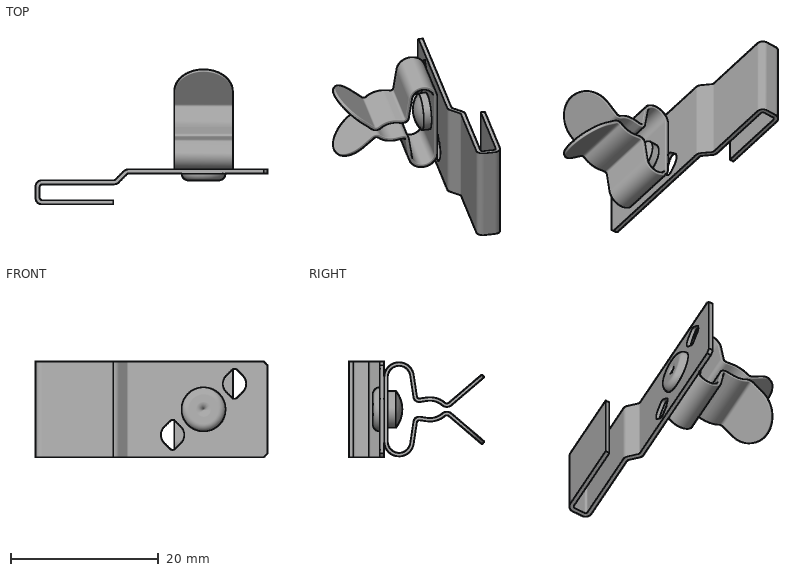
import cadquery as cq
import math


bracket_length = 31.5
bracket_width = 13.0
bracket_sheet = 0.6
bracket_bend_radius = 0.3
bracket_depth = 4.8
front_leg_length = 10.58
step_start = 10.65
step_depth = 1.48
step_angle = 45.0
corner_chamfer = 0.55

window_offset_x = 4.2
window_offset_z = 3.45
window_radius = 1.58
window_half_height = 2.02
window_tip_radius = 0.5
window_flank_angle = 45.0

rivet_x = 22.8
shank_radius = 2.52
shank_end = 1.58
dome_end = 2.5
flange_rim_radius = 3.0
flange_flat_radius = 2.02
flange_height = 0.95
dimple_radius = 1.0

clip_width = 8.0
clip_sheet = 0.5
clip_edge_round = 0.1
base_half_length = 4.38
loop_radius = 1.5
arm_length = 2.95
arm_lean = 8.6
jaw_corner_radius = 0.3
jaw_flat_length = 0.95
hump_radius = 2.58
throat_radius = 0.45
lip_slope = 40.5
lip_length = 5.9


def travel(point, heading, distance):
    angle = math.radians(heading)
    return (point[0] + distance * math.cos(angle), point[1] + distance * math.sin(angle))


def bent_strip(plane, start, heading, sheet, steps):
    """Outline of a bent sheet, drawn along its left side and back along its right side.

    The centre line leaves `start` at `heading` degrees. Each step is a straight length, a turn in
    degrees (left is positive) and the inside radius of that turn.
    Returns the outline, the end of the centre line and the heading there.
    """
    half = sheet / 2
    point = start
    left_corner = travel(point, heading + 90, half)
    right_corner = travel(point, heading - 90, half)
    outline = cq.Workplane(plane).moveTo(*left_corner)
    right_side = []
    for length, turn, inside_radius in steps:
        if length > 0:
            point = travel(point, heading, length)
            outline = outline.lineTo(*travel(point, heading + 90, half))
            right_side.append((right_corner, None))
            right_corner = travel(point, heading - 90, half)
        if turn != 0:
            inward = math.copysign(90, turn)
            radius = inside_radius + half
            center = travel(point, heading + inward, radius)
            spoke = heading - inward
            left_radius = radius - math.copysign(half, turn)
            right_radius = radius + math.copysign(half, turn)
            outline = outline.threePointArc(
                travel(center, spoke + turn / 2, left_radius),
                travel(center, spoke + turn, left_radius),
            )
            right_side.append((right_corner, travel(center, spoke + turn / 2, right_radius)))
            right_corner = travel(center, spoke + turn, right_radius)
            point = travel(center, spoke + turn, radius)
            heading += turn

    outline = outline.lineTo(*right_corner)
    for corner, arc_middle in reversed(right_side):
        if arc_middle is None:
            outline = outline.lineTo(*corner)
        else:
            outline = outline.threePointArc(arc_middle, corner)
    return outline.close(), point, heading


def make_window(x, z):
    """Cutter through the mounting plate, with straight flanks tangent to the circle and its tips."""
    flank_x = math.cos(math.radians(window_flank_angle))
    flank_z = math.sin(math.radians(window_flank_angle))
    tip_center = window_half_height - window_tip_radius
    side_x = window_radius * flank_x
    side_z = window_radius * flank_z
    tip_x = window_tip_radius * flank_x
    tip_z = tip_center + window_tip_radius * flank_z
    return (
        cq.Workplane("XZ", origin=(x, 0, z))
        .moveTo(side_x, -side_z)
        .threePointArc((window_radius, 0), (side_x, side_z))
        .lineTo(tip_x, tip_z)
        .threePointArc((0, window_half_height), (-tip_x, tip_z))
        .lineTo(-side_x, side_z)
        .threePointArc((-window_radius, 0), (-side_x, -side_z))
        .lineTo(-tip_x, -tip_z)
        .threePointArc((0, -window_half_height), (tip_x, -tip_z))
        .close()
        .extrude(bracket_sheet)
    )


def make_shank_hole(depth_start, depth_end):
    return (
        cq.Workplane("XZ", origin=(rivet_x, depth_start, 0))
        .circle(shank_radius)
        .extrude(depth_start - depth_end)
    )


def make_bracket():
    outside_radius = bracket_bend_radius + bracket_sheet
    bend_radii = outside_radius + bracket_bend_radius
    angle = math.radians(step_angle)
    slope_length = (step_depth - bend_radii * (1 - math.cos(angle))) / math.sin(angle)
    step_run = bend_radii * math.sin(angle) + slope_length * math.cos(angle)
    channel_height = bracket_depth - step_depth
    steps = [
        (front_leg_length - outside_radius, -90, bracket_bend_radius),
        (channel_height - 2 * outside_radius, -90, bracket_bend_radius),
        (step_start - outside_radius, step_angle, bracket_bend_radius),
        (slope_length, -step_angle, bracket_bend_radius),
        (bracket_length - step_start - step_run, 0, 0),
    ]
    leg_start = (front_leg_length, bracket_sheet / 2 - bracket_depth)
    outline, _, _ = bent_strip("XY", leg_start, 180, bracket_sheet, steps)
    bracket = outline.extrude(bracket_width / 2, both=True)
    bracket = bracket.faces(">X").edges("|Y").chamfer(corner_chamfer)
    for side in (-1, 1):
        bracket = bracket.cut(make_window(rivet_x + side * window_offset_x, side * window_offset_z))
    return bracket.cut(make_shank_hole(0, -bracket_sheet))


def make_lip_trim(tip, heading):
    """Cutter that leaves a full round on the end of a lip whose centre line stops at `tip`."""
    radius = clip_width / 2
    center = travel(tip, heading, -radius)
    slope = math.radians(heading)
    lip_plane = cq.Plane(
        origin=(rivet_x, center[0], center[1]),
        xDir=(1, 0, 0),
        normal=(0, -math.sin(slope), math.cos(slope)),
    )
    blank = cq.Workplane(lip_plane).center(0, radius).rect(4 * radius, 2 * radius)
    blank = blank.extrude(clip_sheet, both=True)
    return blank.cut(cq.Workplane(lip_plane).circle(radius).extrude(clip_sheet, both=True))


def make_clip():
    steps = [
        (base_half_length, arm_lean - 180, loop_radius),
        (arm_length, 90, jaw_corner_radius),
        (jaw_flat_length, -arm_lean - lip_slope, hump_radius),
        (0, 2 * lip_slope, throat_radius),
        (lip_length, 0, 0),
    ]
    clip_plane = cq.Plane(origin=(rivet_x, 0, 0), xDir=(0, 1, 0), normal=(1, 0, 0))
    outline, tip, heading = bent_strip(clip_plane, (clip_sheet / 2, 0), 90, clip_sheet, steps)
    upper_half = outline.extrude(clip_width / 2, both=True).cut(make_lip_trim(tip, heading))
    clip = upper_half.union(upper_half.mirror("XY")).clean()
    clip = clip.edges("|Z").fillet(clip_edge_round)
    return clip.cut(make_shank_hole(clip_sheet, 0))


def make_rivet():
    """Turned about the Y axis: flange with a round rim and a flared dimple, plain shank, domed end."""
    flange_base = -bracket_sheet
    flange_face = flange_base - flange_height
    diagonal = math.sqrt(0.5)
    rim_middle = (
        flange_flat_radius + (flange_rim_radius - flange_flat_radius) * diagonal,
        flange_base - flange_height * diagonal,
    )
    dimple_middle = (
        dimple_radius * (1 - diagonal),
        flange_face + dimple_radius * (1 - diagonal),
    )
    dome_height = dome_end - shank_end
    dome_radius = (shank_radius**2 + dome_height**2) / (2 * dome_height)
    dome_middle_x = shank_radius / 2
    dome_middle_y = dome_end - dome_radius + math.sqrt(dome_radius**2 - dome_middle_x**2)
    return (
        cq.Workplane("XY", origin=(rivet_x, 0, 0))
        .moveTo(0, flange_face + dimple_radius)
        .threePointArc(dimple_middle, (dimple_radius, flange_face))
        .lineTo(flange_flat_radius, flange_face)
        .threePointArc(rim_middle, (flange_rim_radius, flange_base))
        .lineTo(shank_radius, flange_base)
        .lineTo(shank_radius, shank_end)
        .threePointArc((dome_middle_x, dome_middle_y), (0, dome_end))
        .close()
        .revolve(360, (0, 0, 0), (0, 1, 0))
    )


bracket = make_bracket().solids()
clip = make_clip().solids()
rivet = make_rivet().solids()
result = cq.Compound.makeCompound([bracket.val(), clip.val(), rivet.val()])